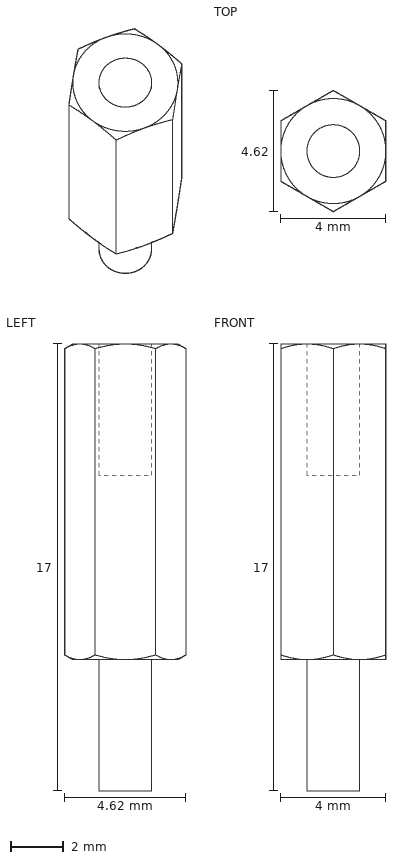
import cadquery as cq
import math

total_length = 17.0
across_flats = 4.0
stud_length = 5.0
thread_diameter = 2.0
hole_depth = 5.0
hex_sides = 6
chamfer_angle = 30.0

body_length = total_length - stud_length
half_side_angle = 180 / hex_sides
flat_radius = across_flats / 2
corner_radius = flat_radius / math.cos(math.radians(half_side_angle))
chamfer_drop = (corner_radius - flat_radius) * math.tan(math.radians(chamfer_angle))


def make_chamfer_envelope():
    """Turned blank whose conical ends trim the corners of the hexagon."""
    profile = [
        (0, stud_length),
        (flat_radius, stud_length),
        (corner_radius, stud_length + chamfer_drop),
        (corner_radius, total_length - chamfer_drop),
        (flat_radius, total_length),
        (0, total_length),
    ]
    return cq.Workplane("XZ").polyline(profile).close().revolve(360, (0, 0), (0, 1))


def make_hex_body():
    """Hexagonal standoff with flats facing +X and -X, and a blind hole from the top."""
    hexagon = (
        cq.Workplane("XY")
        .workplane(offset=stud_length)
        .transformed(rotate=(0, 0, half_side_angle))
        .polygon(hex_sides, 2 * corner_radius)
        .extrude(body_length)
    )
    hole = (
        cq.Workplane("XY")
        .workplane(offset=total_length - hole_depth)
        .circle(thread_diameter / 2)
        .extrude(hole_depth)
    )
    return hexagon.intersect(make_chamfer_envelope()).cut(hole)


def make_stud():
    """Plain round stud that meets the bottom face of the standoff."""
    return cq.Workplane("XY").circle(thread_diameter / 2).extrude(stud_length)


hex_body = make_hex_body()
stud = make_stud()

result = cq.Compound.makeCompound([hex_body.val(), stud.val()])